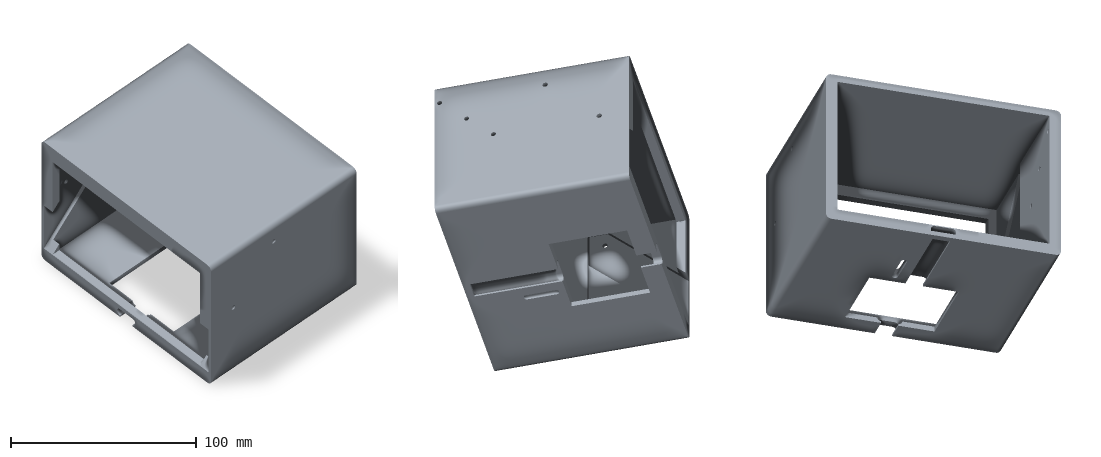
import cadquery as cq
WIDTH = 132.9
DEPTH = 108.0
HEIGHT = 90.6
EDGE_RADIUS = 3.0
MID_X = WIDTH / 2

FRAME_DEPTH = 4.9
WINDOW_SIDE = 8.8
WINDOW_BOTTOM = 8.9
WINDOW_TOP = 80.1

WALL = 4.1
FLOOR = 3.0
REAR_START = 55.0
REAR_WALL = 6.6
REAR_FLOOR = 6.4

SLOT_WALL = 2.0
SLOT_LOW = 8.6
SLOT_HIGH = 41.6

FLOOR_OPENING_WIDTH = 50.5
FLOOR_OPENING_FRONT = 11.4

CHANNEL_FLANK_RADIUS = 2.4
CHANNEL_WIDTH = 14.4
CHANNEL_NECK = 9.8
CHANNEL_AXIS_Z = 3.5
SILL_HEIGHT = 2.5
SILL_DEPTH = 4.0

FLOOR_SLOT_X = 79.0
FLOOR_SLOT_WIDTH = 6.0
FLOOR_SLOT_FRONT = 57.4
FLOOR_SLOT_BACK = 79.7
FLOOR_SLOT_STEP_WIDTH = 1.3

THROUGH_HOLE_DIAMETER = 2.9
THROUGH_HOLES = [(16.5, 48.5), (46.5, 78.4)]
LEFT_HOLE_DIAMETER = 2.8
LEFT_HOLES = [(75.3, 48.5), (90.2, 63.4), (105.2, 78.4)]


def block(x0, x1, y0, y1, z0, z1):
    """Box between two opposite corners."""
    return cq.Workplane("XY").box(x1 - x0, y1 - y0, z1 - z0, centered=False).translate((x0, y0, z0))


def chamber(wall, floor, y0, y1):
    """Interior space with equal side walls, between two depths."""
    return block(wall, WIDTH - wall, y0, y1, floor, HEIGHT - WALL)


def slanted_slot():
    """Space between two parallel 45 degree planes, kept within the front chamber."""
    outline = [
        (0, SLOT_LOW),
        (REAR_START, SLOT_LOW + REAR_START),
        (REAR_START, HEIGHT - WALL),
        (HEIGHT - WALL - SLOT_HIGH, HEIGHT - WALL),
        (0, SLOT_HIGH),
    ]
    slot = cq.Workplane("YZ").polyline(outline).close().extrude(WIDTH - 2 * SLOT_WALL)
    return slot.translate((SLOT_WALL, 0, 0))


def floor_opening():
    """Rectangular opening through the front floor, centred on the width."""
    half = FLOOR_OPENING_WIDTH / 2
    return block(MID_X - half, MID_X + half, FLOOR_OPENING_FRONT, REAR_START, 0, FLOOR)


def cable_channel():
    """Channel through the full depth, with a low sill left across its neck at the back."""
    half_neck = CHANNEL_NECK / 2
    half_flat = CHANNEL_WIDTH / 2 - CHANNEL_FLANK_RADIUS
    bottom = CHANNEL_AXIS_Z - CHANNEL_FLANK_RADIUS
    top = CHANNEL_AXIS_Z + CHANNEL_FLANK_RADIUS
    channel = block(MID_X - half_neck, MID_X + half_neck, 0, DEPTH, 0, CHANNEL_AXIS_Z)
    channel = channel.union(block(MID_X - half_flat, MID_X + half_flat, 0, DEPTH, bottom, top))
    for x in (MID_X - half_flat, MID_X + half_flat):
        flank = cq.Workplane("XZ").center(x, CHANNEL_AXIS_Z).circle(CHANNEL_FLANK_RADIUS).extrude(-DEPTH)
        channel = channel.union(flank)
    return channel.cut(block(0, WIDTH, DEPTH - SILL_DEPTH, DEPTH, 0, SILL_HEIGHT))


def round_slot(width, z0, z1):
    """Vertical slot along Y with round ends, centred on the same end points for any width."""
    end_distance = FLOOR_SLOT_BACK - FLOOR_SLOT_FRONT - FLOOR_SLOT_WIDTH
    middle_y = (FLOOR_SLOT_FRONT + FLOOR_SLOT_BACK) / 2
    plane = cq.Workplane("XY", origin=(FLOOR_SLOT_X, middle_y, z0))
    return plane.slot2D(end_distance + width, width, 90).extrude(z1 - z0)


def floor_slot():
    """Slot through the rear floor, wider above the level of the front floor."""
    lower = round_slot(FLOOR_SLOT_WIDTH - 2 * FLOOR_SLOT_STEP_WIDTH, 0, FLOOR)
    return lower.union(round_slot(FLOOR_SLOT_WIDTH, FLOOR, REAR_FLOOR))


def side_holes(points, diameter, length):
    """Holes along X starting at the left face."""
    return cq.Workplane("YZ").pushPoints(points).circle(diameter / 2).extrude(length)


body = block(0, WIDTH, 0, DEPTH, 0, HEIGHT).edges("|Y").fillet(EDGE_RADIUS)
body = body.cut(block(WINDOW_SIDE, WIDTH - WINDOW_SIDE, 0, FRAME_DEPTH, WINDOW_BOTTOM, WINDOW_TOP))
body = body.cut(chamber(WALL, FLOOR, FRAME_DEPTH, REAR_START))
body = body.cut(chamber(REAR_WALL, REAR_FLOOR, REAR_START, DEPTH))
body = body.cut(slanted_slot())
body = body.cut(floor_opening())
body = body.cut(cable_channel())
body = body.cut(floor_slot())
body = body.cut(side_holes(THROUGH_HOLES, THROUGH_HOLE_DIAMETER, WIDTH))
result = body.cut(side_holes(LEFT_HOLES, LEFT_HOLE_DIAMETER, REAR_WALL))